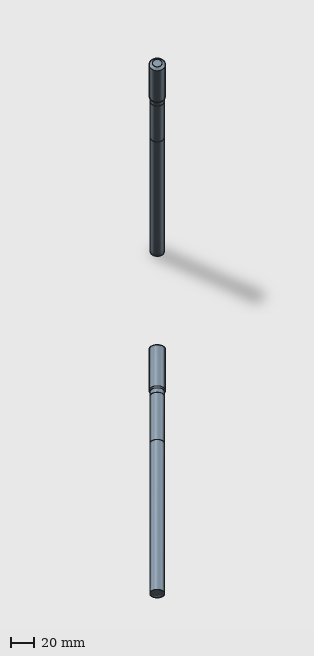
import cadquery as cq
import math

shank_diameter = 14.0
drill_diameter = 12.6
relief_depth = 0.05
shank_end_diameter = 8.3

overall_length = 258.0
neck_top = 211.8
drill_top = 207.2
relief_start = 158.2

point_angle = 140.0
top_chamfer_height = 1.8
shoulder_height = 1.5

shank_radius = shank_diameter / 2
drill_radius = drill_diameter / 2
relieved_radius = drill_radius - relief_depth
shank_end_radius = shank_end_diameter / 2
point_height = drill_radius / math.tan(math.radians(point_angle / 2))


def revolve_profile(points):
    """Turn a closed (radius, height) outline about the Z axis."""
    return cq.Workplane("XZ").polyline(points).close().revolve(360, (0, 0, 0), (0, 1, 0))


def make_shank():
    """Shank with a coned top, a tapered shoulder and a neck of the drill diameter."""
    return revolve_profile([
        (0, drill_top),
        (drill_radius, drill_top),
        (drill_radius, neck_top),
        (shank_radius, neck_top + shoulder_height),
        (shank_radius, overall_length - top_chamfer_height),
        (shank_end_radius, overall_length),
        (0, overall_length),
    ])


def make_cutting_part():
    """Cylindrical cutting part with a conical point and a slightly relieved rear length."""
    return revolve_profile([
        (0, 0),
        (drill_radius, point_height),
        (drill_radius, relief_start),
        (relieved_radius, relief_start),
        (relieved_radius, drill_top),
        (0, drill_top),
    ])


shank = make_shank()
cutting_part = make_cutting_part()
result = cq.Compound.makeCompound([shank.val(), cutting_part.val()])